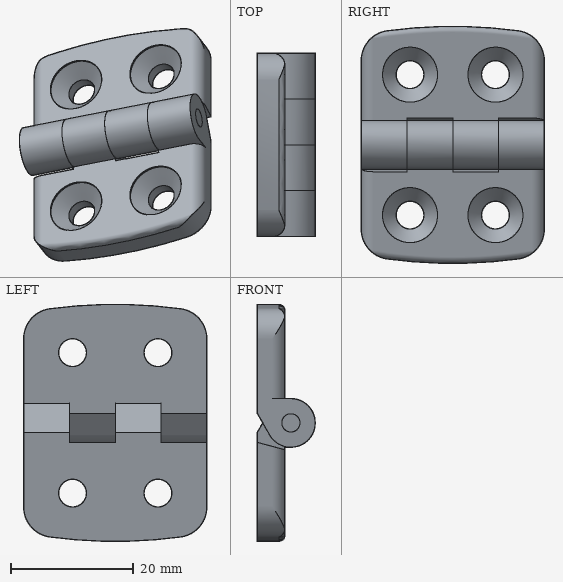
import cadquery as cq
import math

width = 30.0
height = 38.83
depth = 9.5
half_width = width / 2
half_height = height / 2

thickness = 4.55
corner_radius = 5.0
end_arc_radius = 80.0
side_round = 2.0
end_round = 1.0

knuckle_count = 4
knuckle_radius = 4.0
knuckle_pitch = width / knuckle_count
axis_x = depth - knuckle_radius
pin_diameter = 3.0
underside_angle = math.radians(60)

clearance_radius = 4.5
clearance_angle = math.radians(15)

hole_diameter = 4.5
head_diameter = 9.0
hole_y = 7.0
hole_z = 11.5
hole_straight_depth = 1.98
cone_depth = (head_diameter - hole_diameter) / 2


def tangent_at(radius, angle, side):
    """Tangent point on a circle about the pin axis, above (side 1) or below (side -1) it,
    and the z where that tangent line, inclined at angle, meets the mounting face."""
    x = axis_x - radius * math.sin(angle)
    z = side * radius * math.cos(angle)
    face_z = z - side * x * math.tan(angle)
    return x, z, face_z


clearance_x, clearance_z, plate_bottom = tangent_at(clearance_radius, clearance_angle, 1)
underside_x, underside_z, underside_drop = tangent_at(knuckle_radius, underside_angle, -1)


def slot(index):
    """Start and end y of one knuckle position, counted from the -Y side."""
    start = -half_width + index * knuckle_pitch
    return start, start + knuckle_pitch


def extrude_along_y(outline, y_start, y_end):
    """Extrude a closed XZ wire drawn at y = 0."""
    return outline.extrude(y_start - y_end).translate((0, y_start, 0))


def make_plate():
    """Plate with tangent corner arcs and a bowed outer end, rounded on its +X edges."""
    corner_y = half_width - corner_radius
    bow_center_z = half_height - end_arc_radius
    center_distance = end_arc_radius - corner_radius
    corner_z = bow_center_z + math.sqrt(center_distance**2 - corner_y**2)
    bow_angle = math.asin(corner_y / center_distance)
    bow_y = end_arc_radius * math.sin(bow_angle)
    bow_z = bow_center_z + end_arc_radius * math.cos(bow_angle)
    middle_angle = (bow_angle + math.pi / 2) / 2
    mid_y = corner_y + corner_radius * math.sin(middle_angle)
    mid_z = corner_z + corner_radius * math.cos(middle_angle)

    plate = (
        cq.Workplane("YZ")
        .moveTo(-half_width, plate_bottom)
        .lineTo(half_width, plate_bottom)
        .lineTo(half_width, corner_z)
        .threePointArc((mid_y, mid_z), (bow_y, bow_z))
        .threePointArc((0, half_height), (-bow_y, bow_z))
        .threePointArc((-mid_y, mid_z), (-half_width, corner_z))
        .close()
        .extrude(thickness)
    )
    block = cq.Workplane("XY").box(thickness, width, half_height, centered=(False, True, False))
    rounded_sides = block.edges("|Z and >X").fillet(side_round)
    bow_edge_z = bow_center_z + math.sqrt(end_arc_radius**2 - half_width**2)
    bowed_block = (
        cq.Workplane("YZ")
        .moveTo(-half_width, 0)
        .lineTo(half_width, 0)
        .lineTo(half_width, bow_edge_z)
        .threePointArc((0, half_height), (-half_width, bow_edge_z))
        .close()
        .extrude(thickness)
    )
    rounded_end = bowed_block.faces(">X").edges(">Z").fillet(end_round)
    return plate.intersect(rounded_sides).intersect(rounded_end)


def make_knuckle(index):
    """Knuckle with a flat top and a sloping underside, both tangent to its barrel."""
    y_start, y_end = slot(index)
    outline = (
        cq.Workplane("XZ")
        .moveTo(0, underside_drop)
        .lineTo(0, knuckle_radius)
        .lineTo(axis_x, knuckle_radius)
        .threePointArc((axis_x + knuckle_radius, 0), (underside_x, underside_z))
        .close()
    )
    return extrude_along_y(outline, y_start, y_end)


def make_clearance(index):
    """Round clearance about the pin axis, opening to the mounting face along a sloping plane."""
    y_start, y_end = slot(index)
    wedge = (
        cq.Workplane("XZ")
        .moveTo(0, 0)
        .lineTo(0, plate_bottom)
        .lineTo(clearance_x, clearance_z)
        .lineTo(axis_x, 0)
        .close()
    )
    barrel = cq.Workplane("XZ").center(axis_x, 0).circle(clearance_radius)
    return extrude_along_y(wedge, y_start, y_end).union(extrude_along_y(barrel, y_start, y_end))


def make_screw_hole():
    """Straight hole from the mounting face, then a cone, then a straight head recess."""
    cone_end = hole_straight_depth + cone_depth
    return (
        cq.Workplane("XY")
        .lineTo(0, hole_diameter / 2)
        .lineTo(hole_straight_depth, hole_diameter / 2)
        .lineTo(cone_end, head_diameter / 2)
        .lineTo(thickness, head_diameter / 2)
        .lineTo(thickness, 0)
        .close()
        .revolve(360, (0, 0, 0), (1, 0, 0))
    )


def make_pin(diameter):
    """Cylinder on the pin axis over the full width."""
    circle = cq.Workplane("XZ").center(axis_x, 0).circle(diameter / 2)
    return extrude_along_y(circle, -half_width, half_width)


def make_leaf():
    """Upper leaf, with its own knuckles at the even positions."""
    leaf = make_plate()
    for index in range(0, knuckle_count, 2):
        leaf = leaf.union(make_knuckle(index))
    for index in range(1, knuckle_count, 2):
        leaf = leaf.cut(make_clearance(index))
    for y in (-hole_y, hole_y):
        leaf = leaf.cut(make_screw_hole().translate((0, y, hole_z)))
    return leaf.cut(make_pin(pin_diameter))


upper_leaf = make_leaf()
lower_leaf = make_leaf().rotate((0, 0, 0), (1, 0, 0), 180)
pin = make_pin(pin_diameter)

result = cq.Compound.makeCompound([upper_leaf.val(), lower_leaf.val(), pin.val()])